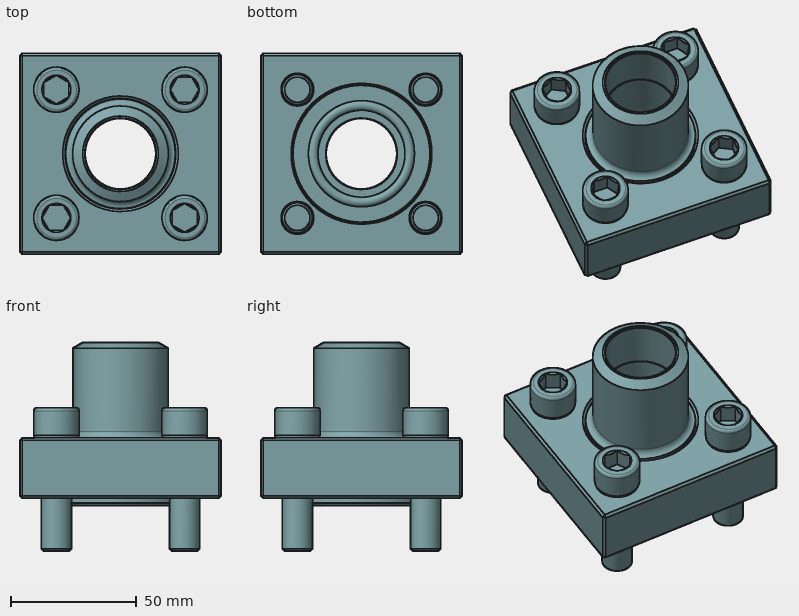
import cadquery as cq
import math

flange_side = 80.0
flange_height = 24.0
flange_chamfer = 1.0
neck_hole_diameter = 44
neck_hole_chamfer = 1.0
collar_recess_diameter = 56.0
collar_height_in_flange = 12.0

pipe_diameter = 38.0
pipe_height = 38.0
shoulder_diameter = 43.5
collar_diameter = 55.0
collar_projection = 2.0
collar_chamfer = 0.3
upper_bore_diameter = 28.0
lower_bore_diameter = 28.5
upper_bore_depth = 19.0
bore_mouth_chamfer = 0.25
weld_tip_diameter = 30.05
weld_bevel_angle = 30

ring_inner_diameter = 34.5
ring_outer_diameter = 42.25
ring_protrusion = 1.0

screw_count = 4
screw_spacing = 51.0
screw_hole_diameter = 13.0
shank_diameter = 12.0
shank_length = 45.0
shank_chamfer = 1.0
head_diameter = 18.0
head_height = 12.0
head_fillet = 1.2
head_base_chamfer_height = 1.0
head_base_chamfer_inset = 0.3
socket_width = 10
socket_depth = 8.0
socket_turn = 30

flange_bottom_z = -flange_height
collar_bottom_z = flange_bottom_z - collar_projection
collar_top_z = flange_bottom_z + collar_height_in_flange
ring_section_diameter = (ring_outer_diameter - ring_inner_diameter) / 2
ring_path_radius = (ring_outer_diameter + ring_inner_diameter) / 4
groove_depth = ring_section_diameter - ring_protrusion
socket_corner_diameter = 2 * socket_width / math.sqrt(3)


def cylinder(diameter, bottom_z, top_z):
    return cq.Workplane("XY").workplane(offset=bottom_z).circle(diameter / 2).extrude(top_z - bottom_z)


def make_flange():
    block = cq.Workplane("XY").box(flange_side, flange_side, flange_height, centered=(True, True, False))
    block = block.translate((0, 0, flange_bottom_z)).edges().chamfer(flange_chamfer)
    block = block.cut(cylinder(neck_hole_diameter, flange_bottom_z, 0))
    block = block.faces(">Z").edges("%CIRCLE").chamfer(neck_hole_chamfer)
    block = block.cut(cylinder(collar_recess_diameter, flange_bottom_z, collar_top_z))
    screw_holes = (
        cq.Workplane("XY")
        .rect(screw_spacing, screw_spacing, forConstruction=True)
        .vertices()
        .circle(screw_hole_diameter / 2)
        .extrude(-flange_height)
    )
    return block.cut(screw_holes)


def make_weld_neck():
    pipe_radius = pipe_diameter / 2
    shoulder_radius = shoulder_diameter / 2
    fillet_radius = shoulder_radius - pipe_radius
    bevel_height = (pipe_diameter - weld_tip_diameter) / 2 * math.tan(math.radians(weld_bevel_angle))
    fillet_middle = fillet_radius * (1 - math.sqrt(0.5))
    bevel_start_z = pipe_height - bevel_height
    upper_bore_radius = upper_bore_diameter / 2
    step_z = pipe_height - upper_bore_depth
    profile = (
        cq.Workplane("XZ")
        .moveTo(lower_bore_diameter / 2, collar_bottom_z)
        .lineTo(collar_diameter / 2 - collar_chamfer, collar_bottom_z)
        .lineTo(collar_diameter / 2, collar_bottom_z + collar_chamfer)
        .lineTo(collar_diameter / 2, collar_top_z)
        .lineTo(shoulder_radius, collar_top_z)
        .lineTo(shoulder_radius, 0)
        .threePointArc((pipe_radius + fillet_middle, fillet_middle), (pipe_radius, fillet_radius))
        .lineTo(pipe_radius, bevel_start_z)
        .lineTo(weld_tip_diameter / 2, pipe_height)
        .lineTo(upper_bore_radius + bore_mouth_chamfer, pipe_height)
        .lineTo(upper_bore_radius, pipe_height - bore_mouth_chamfer)
        .lineTo(upper_bore_radius, step_z)
        .lineTo(lower_bore_diameter / 2, step_z)
        .close()
    )
    neck = profile.revolve(360, (0, 0, 0), (0, 1, 0))
    groove = cylinder(ring_outer_diameter, collar_bottom_z, collar_bottom_z + groove_depth)
    groove = groove.cut(cylinder(ring_inner_diameter, collar_bottom_z, collar_bottom_z + groove_depth))
    return neck.cut(groove)


def make_sealing_ring():
    ring_z = collar_bottom_z - ring_protrusion + ring_section_diameter / 2
    section = cq.Workplane("XZ").center(ring_path_radius, ring_z).circle(ring_section_diameter / 2)
    return section.revolve(360, (-ring_path_radius, 0, 0), (-ring_path_radius, 1, 0))


def make_screw():
    """Socket head screw whose head stands on Z = 0, with two socket flats facing +X and -X."""
    head = cylinder(head_diameter, 0, head_height)
    head = head.faces(">Z").edges().fillet(head_fillet)
    head = head.faces("<Z").edges().chamfer(head_base_chamfer_height, head_base_chamfer_inset)
    shank = cylinder(shank_diameter, -shank_length, 0).faces("<Z").edges().chamfer(shank_chamfer)
    socket = (
        cq.Workplane("XY")
        .workplane(offset=head_height - socket_depth)
        .polygon(6, socket_corner_diameter)
        .extrude(socket_depth)
        .rotate((0, 0, 0), (0, 0, 1), socket_turn)
    )
    lead_in_height = (socket_corner_diameter - socket_width) / 2
    lead_in = cq.Solid.makeCone(
        socket_width / 2,
        socket_corner_diameter / 2,
        lead_in_height,
        pnt=cq.Vector(0, 0, head_height - lead_in_height),
    )
    return head.union(shank).cut(socket).cut(lead_in)


def make_screws():
    """Four screws, each turned a further quarter turn about the flange axis."""
    first = make_screw().translate((screw_spacing / 2, -screw_spacing / 2, 0))
    quarter_turn = 360 / screw_count
    return [first.rotate((0, 0, 0), (0, 0, 1), quarter_turn * index) for index in range(screw_count)]


flange = make_flange()
weld_neck = make_weld_neck()
sealing_ring = make_sealing_ring()
screws = make_screws()

result = cq.Compound.makeCompound(
    [
        flange.val(),
        weld_neck.val(),
        sealing_ring.val(),
        *[screw.val() for screw in screws],
    ]
)